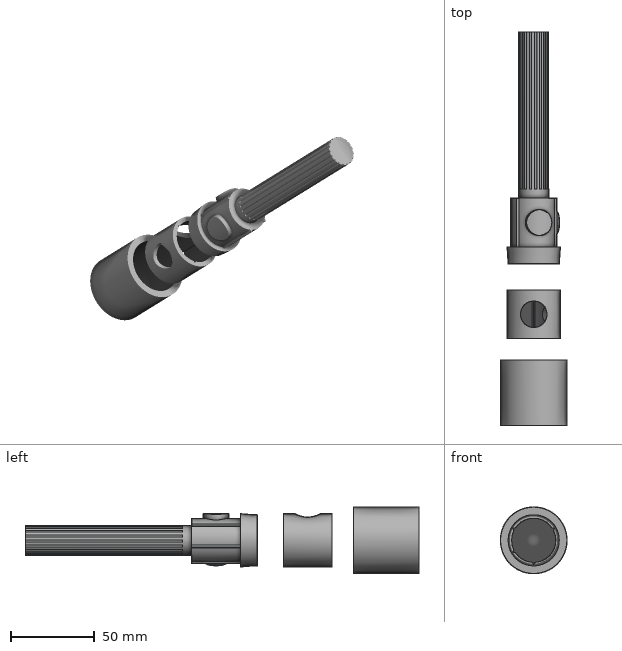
import cadquery as cq


joint_radius = 16.0
taper_radius = 15.3
taper_length = 10.2
hub_length = 29.2
hub_radius = 13.2
key_radius = 14.4
key_width = 1.8
key_overlap = 0.5
knob_radius = 7.75
window_radius = 7.9
sector = 60.0
key_sectors = (1, 2, 3, 5)
knob_sectors = (0, 4)

total_length = 235.7
cap_sleeve_gap = 12.7
sleeve_collar_gap = 15.5

cap_radius = 20.0
cap_length = hub_length + taper_length

sleeve_front = cap_length + cap_sleeve_gap
window_angle = 90.0

collar_front = sleeve_front + hub_length + sleeve_collar_gap
hub_front = collar_front + taper_length
hub_back = hub_front + hub_length
knob_angle = 76.5
shaft_radius = 9.0
neck_length = 5.4
groove_count = 18
groove_radius = 0.65
groove_phase = 2.5


def cylinder(radius, front, length):
    """Cylinder on the Y axis, running from front towards +Y."""
    return cq.Workplane("XZ", origin=(0, front, 0)).circle(radius).extrude(-length)


def taper(front):
    """Cone on the Y axis that widens from the taper radius to the joint radius."""
    return (
        cq.Workplane("XZ", origin=(0, front, 0))
        .circle(taper_radius)
        .workplane(offset=-taper_length)
        .circle(joint_radius)
        .loft(ruled=True)
    )


def turned(body, angle):
    """Turn a body that points along +X to the angle, from +X towards +Z."""
    return body.rotate((0, 0, 0), (0, 1, 0), -angle)


def key_wedge(front, angle):
    """Wedge of triangular section that forms a key on the hub or a keyway in the sleeve."""
    foot_radius = hub_radius - key_overlap
    wedge = (
        cq.Workplane("XZ", origin=(0, front, 0))
        .moveTo(foot_radius, -key_width / 2)
        .lineTo(hub_radius, -key_width / 2)
        .lineTo(key_radius, 0)
        .lineTo(hub_radius, key_width / 2)
        .lineTo(foot_radius, key_width / 2)
        .close()
        .extrude(-hub_length)
    )
    return turned(wedge, angle)


def radial_pin(radius, middle, angle):
    """Pin from the axis out to the joint radius, with a round end."""
    pin = cq.Workplane("YZ", origin=(0, middle, 0)).circle(radius).extrude(joint_radius)
    pin = pin.intersect(cylinder(joint_radius, middle - radius, 2 * radius))
    return turned(pin, angle)


def make_cap():
    """Tube whose front mouth narrows to hold the collar."""
    cap = cylinder(cap_radius, 0, cap_length)
    cap = cap.cut(taper(0))
    return cap.cut(cylinder(joint_radius, taper_length, hub_length))


def make_sleeve():
    """Tube with keyways along the bore and round windows for the knobs."""
    middle = sleeve_front + hub_length / 2
    sleeve = cylinder(joint_radius, sleeve_front, hub_length)
    sleeve = sleeve.cut(cylinder(hub_radius, sleeve_front, hub_length))
    for step in key_sectors:
        angle = window_angle + step * sector
        sleeve = sleeve.cut(key_wedge(sleeve_front, angle))
    for step in knob_sectors:
        angle = window_angle + step * sector
        sleeve = sleeve.cut(radial_pin(window_radius, middle, angle))
    return sleeve


def make_hub():
    """Hub with its tapered collar, keys and knobs."""
    middle = hub_front + hub_length / 2
    hub = taper(collar_front).union(cylinder(hub_radius, hub_front, hub_length))
    for step in key_sectors:
        angle = knob_angle + step * sector
        hub = hub.union(key_wedge(hub_front, angle))
    for step in knob_sectors:
        angle = knob_angle + step * sector
        hub = hub.union(radial_pin(knob_radius, middle, angle))
    return hub


def make_splined_rod():
    """Rod with even half-round grooves from its back end to a plain neck at the hub."""
    rod = cylinder(shaft_radius, hub_back, total_length - hub_back)
    groove_front = hub_back + neck_length
    groove_length = total_length - groove_front
    groove = (
        cq.Workplane("XZ", origin=(shaft_radius, groove_front, 0))
        .circle(groove_radius)
        .extrude(-groove_length)
    )
    for index in range(groove_count):
        rod = rod.cut(turned(groove, groove_phase + index * 360.0 / groove_count))
    return rod


cap = make_cap()
sleeve = make_sleeve()
splined_shaft = make_hub().union(make_splined_rod())

result = cq.Compound.makeCompound([cap.val(), sleeve.val(), splined_shaft.val()])